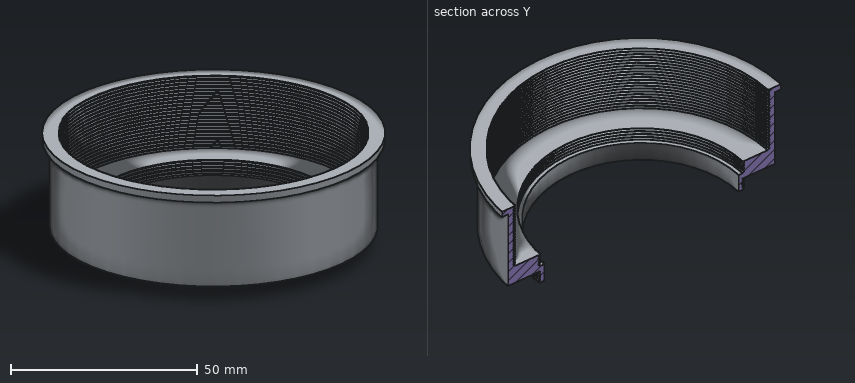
import cadquery as cq

flange_radius = 92.0 / 2
flange_height = 2.0
body_radius = 88.0 / 2
total_height = 31.0
collar_height = 4.0
collar_root_radius = 33.4

upper_bore_radius = 41.6
upper_bore_depth = 21.0
lower_bore_radius = 33.3
lower_bore_depth = 25.0
through_radius = 64.0 / 2

nominal_pitch = 1.0
thread_depth = 0.55
crest_fraction = 0.15
root_fraction = 0.15

flange_z = total_height - flange_height
floor_z = total_height - upper_bore_depth
ledge_z = total_height - lower_bore_depth


def thread_points(small_radius, start_z, end_z):
    """Zigzag (radius, z) points of a whole number of thread rings from start_z to end_z."""
    ring_count = round(abs(end_z - start_z) / nominal_pitch)
    pitch = (end_z - start_z) / ring_count
    large_radius = small_radius + thread_depth
    root_half = root_fraction * pitch / 2
    crest_half = crest_fraction * pitch / 2
    points = [(small_radius, start_z)]
    for ring in range(ring_count):
        ring_z = start_z + ring * pitch
        middle_z = ring_z + pitch / 2
        points += [
            (small_radius, ring_z + root_half),
            (large_radius, middle_z - crest_half),
            (large_radius, middle_z + crest_half),
            (small_radius, ring_z + pitch - root_half),
        ]
    points.append((small_radius, end_z))
    return points


outside = thread_points(collar_root_radius, 0, collar_height) + [
    (body_radius, collar_height),
    (body_radius, flange_z),
    (flange_radius, flange_z),
    (flange_radius, total_height),
]

inside = (
    thread_points(upper_bore_radius, total_height, floor_z)
    + thread_points(lower_bore_radius, floor_z, ledge_z)
    + [(through_radius, ledge_z), (through_radius, 0)]
)

result = cq.Workplane("XZ").polyline(outside + inside).close().revolve(360, (0, 0), (0, 1))